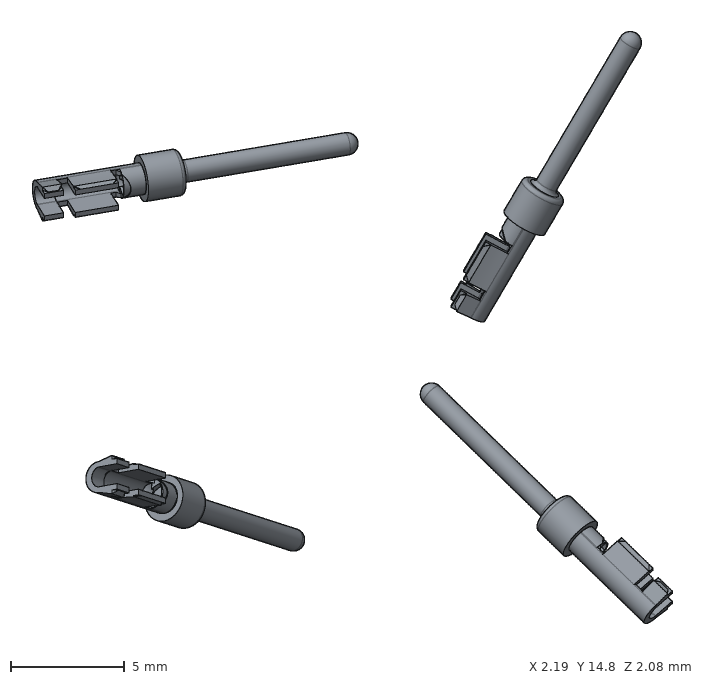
import cadquery as cq
import math

total_length = 14.8

pin_radius = 0.5
root_fillet = 0.2
collar_radius = 1.04
collar_rear = 4.8
collar_front = 6.6
collar_fillet = 0.2

barrel_radius = 0.7
bore_radius = 0.45
neck_rear = 3.785
trough_edge = 0.07
corner_gusset = 0.18

bulge_shift = 0.045
bulge_end = 4.09
bulge_notch_half_width = 0.6

stop_depth = bulge_end - neck_rear
stop_vertex = -0.08
stop_focal_length = 0.06
stop_reach_radius = 0.64

wire_wing_rear = 1.38
wire_wing_front = 3.38
wire_wing_tip = 1.15
wire_ridge_x = 0.9
wire_ridge_z = 0.755

rear_wing_front = 0.89
rear_wing_tip = 1.01
rear_flare_angle = math.radians(13.5)
rear_flare_shift = 0.09
rear_outer_radius = 0.697
rear_inner_radius = 0.465
rear_ridge_x = 0.73
rear_toe_x = 0.95


def section():
    """Sketch plane across the contact: local x is X, local y is Z."""
    return cq.Workplane("XZ")


def along_y(sketch, start, end):
    """Extrude a section sketch from y = start to y = end."""
    return sketch.extrude(start - end).translate((0, start, 0))


def wing_legs(tip_x, start, end):
    """Two flat walls that carry on from the barrel wall at x = 0 up to tip_x."""
    wall = barrel_radius - bore_radius
    upper = cq.Workplane("XY").box(tip_x, end - start, wall, centered=False)
    upper = upper.translate((0, start, bore_radius))
    return upper.union(upper.mirror("XY"))


def clip_corners(wings, ridge_x, tip_x, start, end):
    """Cut 45 degree corners, in plan, from the tips of a pair of wings."""
    clip = tip_x - ridge_x
    for y, inward in ((start, 1), (end, -1)):
        corner = (
            cq.Workplane("XY")
            .polyline([(ridge_x, y), (tip_x, y), (tip_x, y + inward * clip)])
            .close()
            .extrude(collar_radius, both=True)
        )
        wings = wings.cut(corner)
    return wings


def make_rear_flare():
    """V-shaped lining whose legs lean outwards and end in a bevelled tip."""
    sine = math.sin(rear_flare_angle)
    cosine = math.cos(rear_flare_angle)

    def leg_height(radius, x):
        return radius / cosine + (x - rear_flare_shift) * math.tan(rear_flare_angle)

    def tangent_point(radius):
        return rear_flare_shift - radius * sine, radius * cosine

    outer_x, outer_z = tangent_point(rear_outer_radius)
    inner_x, inner_z = tangent_point(rear_inner_radius)
    ridge_z = leg_height(rear_outer_radius, rear_ridge_x)
    toe_z = leg_height(rear_inner_radius, rear_toe_x)
    sketch = (
        section()
        .moveTo(rear_toe_x, toe_z)
        .lineTo(rear_ridge_x, ridge_z)
        .lineTo(outer_x, outer_z)
        .threePointArc((rear_flare_shift - rear_outer_radius, 0), (outer_x, -outer_z))
        .lineTo(rear_ridge_x, -ridge_z)
        .lineTo(rear_toe_x, -toe_z)
        .lineTo(inner_x, -inner_z)
        .threePointArc((rear_flare_shift - rear_inner_radius, 0), (inner_x, inner_z))
        .close()
    )
    flare = along_y(sketch, 0, rear_wing_front)
    return clip_corners(flare, rear_ridge_x, rear_toe_x, 0, rear_wing_front)


def make_wire_ridges():
    """Low ridges on the outside of the conductor wings, curving up towards the tips."""
    rise = wire_ridge_z - barrel_radius
    sketch = (
        section()
        .moveTo(0, barrel_radius)
        .threePointArc((wire_ridge_x / 2, barrel_radius + rise / 4), (wire_ridge_x, wire_ridge_z))
        .lineTo(wire_wing_tip, barrel_radius)
        .close()
    )
    upper = along_y(sketch, wire_wing_rear, wire_wing_front)
    upper = clip_corners(upper, wire_ridge_x, wire_wing_tip, wire_wing_rear, wire_wing_front)
    return upper.union(upper.mirror("XY"))


def make_gussets():
    """Sloping corners where the trough edges run up into the neck."""
    upper = (
        cq.Workplane("XY", origin=(0, 0, bore_radius))
        .moveTo(trough_edge, neck_rear - corner_gusset)
        .lineTo(trough_edge + corner_gusset, neck_rear)
        .lineTo(trough_edge, neck_rear)
        .close()
        .extrude(barrel_radius - bore_radius)
    )
    upper = upper.intersect(along_y(section().circle(barrel_radius), 0, neck_rear))
    return upper.union(upper.mirror("XY"))


def make_shaft():
    """Round bar, root fillet and round-nosed pin turned about Y, bored and opened on +X at the rear."""
    fillet_end = collar_front + root_fillet
    fillet_middle = root_fillet * (1 - math.sqrt(0.5))
    nose_start = total_length - pin_radius
    nose_middle = pin_radius * math.sqrt(0.5)
    bar = (
        cq.Workplane("YZ")
        .lineTo(0, barrel_radius)
        .lineTo(collar_front, barrel_radius)
        .threePointArc(
            (collar_front + fillet_middle, pin_radius + fillet_middle),
            (fillet_end, pin_radius),
        )
        .lineTo(nose_start, pin_radius)
        .threePointArc((nose_start + nose_middle, nose_middle), (total_length, 0))
        .close()
        .revolve(360, (0, 0, 0), (1, 0, 0))
    )
    bore = along_y(section().circle(bore_radius), 0, neck_rear)
    opening = cq.Workplane("XY").box(
        barrel_radius, neck_rear, 2 * barrel_radius, centered=(False, False, True)
    )
    return bar.cut(bore).cut(opening)


def make_bulge():
    """Skin that thickens the neck on +X, with a hollow curved rear end."""
    sketch = (
        section()
        .moveTo(0, barrel_radius)
        .lineTo(bulge_shift, barrel_radius)
        .threePointArc((bulge_shift + barrel_radius, 0), (bulge_shift, -barrel_radius))
        .lineTo(0, -barrel_radius)
        .close()
    )
    skin = along_y(sketch, neck_rear, collar_rear)
    notch = (
        cq.Workplane("YZ")
        .moveTo(neck_rear, -bulge_notch_half_width)
        .threePointArc((bulge_end, 0), (neck_rear, bulge_notch_half_width))
        .close()
        .extrude(collar_radius)
    )
    return skin.cut(notch)


def make_wire_stop():
    """Recess in the neck end: a half cone below the bore and a parabolic pocket."""
    cone = (
        cq.Workplane("XY")
        .polyline([(0, neck_rear), (bore_radius, neck_rear), (0, bulge_end)])
        .close()
        .revolve(360, (0, 0, 0), (0, 1, 0))
    )
    trim = cq.Workplane("XY").box(
        bore_radius, stop_depth, 2 * bore_radius, centered=(False, False, True)
    )
    cone = cone.cut(trim.translate((trough_edge, neck_rear, 0)))

    half_width = math.sqrt(4 * stop_focal_length * (stop_reach_radius - stop_vertex))

    def parabola(t):
        z = half_width * t
        return stop_vertex + z * z / (4 * stop_focal_length), z

    sketch = section().parametricCurve(parabola, start=-1, stop=1, N=20, makeWire=False).close()
    pocket = along_y(sketch, neck_rear, bulge_end)
    limit = along_y(section().circle(stop_reach_radius), neck_rear, bulge_end)
    return cone.union(pocket.intersect(limit))


def make_contact():
    contact = make_shaft().union(make_bulge()).cut(make_wire_stop())
    features = (
        wing_legs(trough_edge, 0, neck_rear),
        make_gussets(),
        wing_legs(wire_wing_tip, wire_wing_rear, wire_wing_front),
        make_wire_ridges(),
        wing_legs(rear_wing_tip, 0, rear_wing_front),
        make_rear_flare(),
    )
    for feature in features:
        contact = contact.union(feature)
    return contact


def make_collar():
    """Plain ring around the neck, rounded at its front rim."""
    ring = along_y(section().circle(collar_radius), collar_rear, collar_front)
    ring = ring.faces(">Y").edges().fillet(collar_fillet)
    return ring.cut(along_y(section().circle(barrel_radius), collar_rear, collar_front))


contact = make_contact()
collar = make_collar()
result = cq.Compound.makeCompound([contact.solids().val(), collar.solids().val()])